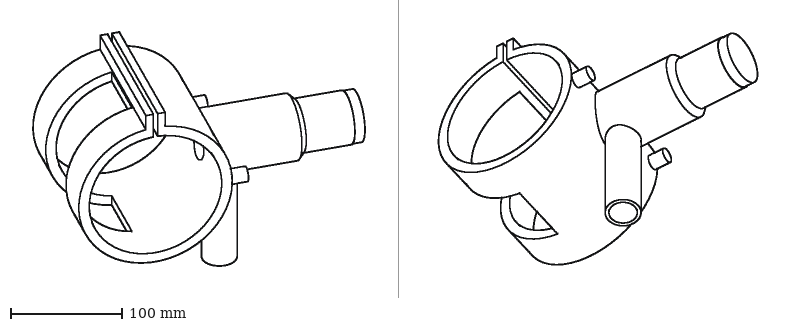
import cadquery as cq

ring_width = 138.0
ring_outer_radius = 72.5
ring_inner_radius = 62.5
slit_half_width = 2.0
ear_half_width = 9.0
ear_top = 87.0

window_width = 60.8
window_back = -10.2

tube_radius = 31.0
neck_radius = 25.0
shoulder_chamfer = tube_radius - neck_radius
shoulder_end = 156.0
tube_end = 202.2
bore_radius = 15.2

overall_length = 284.3
cap_radius = 24.5
cap_end = overall_length - ring_outer_radius

branch_y = 82.0
branch_radius = 16.2
branch_bottom = -126.0
branch_bore_radius = 12.8

peg_radius = 7.0
peg_x = 61.0
peg_end = 88.1


def y_cylinder(radius, start, end, x=0):
    """Cylinder along +Y between two Y positions."""
    return cq.Workplane("XZ", origin=(x, start, 0)).circle(radius).extrude(start - end)


def x_cylinder(radius):
    """Cylinder along X over the width of the ring."""
    return cq.Workplane("YZ").circle(radius).extrude(ring_width / 2, both=True)


def box_between(width, y_start, y_end, z_start, z_end):
    """Box centred on X between the given Y and Z limits."""
    return cq.Workplane("XY").box(
        width, y_end - y_start, z_end - z_start, centered=(True, False, False)
    ).translate((0, y_start, z_start))


def make_clamp():
    clamp = x_cylinder(ring_outer_radius)
    clamp = clamp.union(box_between(ring_width, -ear_half_width, ear_half_width, 0, ear_top))

    tube = y_cylinder(tube_radius, 0, shoulder_end).faces(">Y").chamfer(shoulder_chamfer)
    clamp = clamp.union(tube)
    clamp = clamp.union(y_cylinder(neck_radius, 0, tube_end))

    branch = cq.Workplane("XY", origin=(0, branch_y, 0)).circle(branch_radius).extrude(branch_bottom)
    clamp = clamp.union(branch)
    for x in (-peg_x, peg_x):
        clamp = clamp.union(y_cylinder(peg_radius, 0, peg_end, x))

    clamp = clamp.cut(x_cylinder(ring_inner_radius))
    clamp = clamp.cut(box_between(ring_width, -slit_half_width, slit_half_width, 0, ear_top))
    clamp = clamp.cut(
        box_between(window_width, -ring_outer_radius, window_back, -ring_outer_radius, ring_outer_radius)
    )
    clamp = clamp.cut(y_cylinder(bore_radius, 0, tube_end))
    branch_bore = cq.Workplane("XY", origin=(0, branch_y, 0)).circle(branch_bore_radius).extrude(branch_bottom)
    return clamp.cut(branch_bore)


def make_cap():
    return y_cylinder(cap_radius, tube_end, cap_end)


clamp = make_clamp()
cap = make_cap()
result = cq.Compound.makeCompound([clamp.val(), cap.val()])